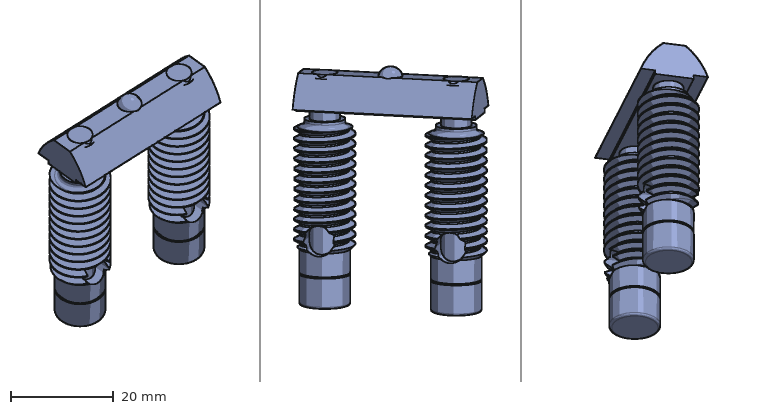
import cadquery as cq
import math

BAR_LENGTH = 36.0
BAR_HALF_WIDTH = 6.75
BAR_TOP_HALF_WIDTH = 2.25
BAR_SIDE_RADIUS = 14.5
FOOT_HALF_WIDTH = 3.875
FOOT_BOTTOM_Z = 39.0
BAR_SHOULDER_Z = 39.8
BAR_TOP_Z = 46.2
BALL_RADIUS = 2.5
BALL_TOP_Z = 48.0

PIN_SPACING = 26.4
PIN_POSITIONS = (-PIN_SPACING / 2, PIN_SPACING / 2)
SHAFT_RADIUS = 3.0
TIP_RADIUS = 4.92 / 2
TIP_CHAMFER_HEIGHT = 0.76
CAP_RADIUS = 5.0
CAP_HEIGHT = 6.1
CAP_FILLET = 0.5

SLEEVE_RADIUS = CAP_RADIUS
SLEEVE_EDGE_CHAMFER = 0.35
COLLAR_RADIUS = 4.0
COLLAR_TOP_Z = 37.0
COLLAR_FILLET = 1.0
CROSS_HOLE_RADIUS = 3.0
CROSS_HOLE_Z = 13.5

THREAD_BOTTOM_Z = 11.1
THREAD_TOP_Z = 35.5
THREAD_RADIUS = 6.0
THREAD_ROOT_RADIUS = 4.8
THREAD_PITCH = 2.0
CREST_WIDTH = 0.25
FLANK_ANGLE = math.radians(30)
ROOT_OVERLAP = 0.2
HELIX_START_Z = 8.4
HELIX_TURNS = 15
CLIP_MARGIN = 1.0
CORE_SEAM_ANGLE = 100


def make_bar():
    """Arched bar with a ball nose, bored for the two pin shafts."""
    start = (BAR_TOP_HALF_WIDTH, BAR_TOP_Z)
    end = (BAR_HALF_WIDTH, BAR_SHOULDER_Z)
    run = end[0] - start[0]
    drop = start[1] - end[1]
    chord = math.hypot(run, drop)
    sagitta = BAR_SIDE_RADIUS - math.sqrt(BAR_SIDE_RADIUS**2 - (chord / 2) ** 2)
    middle_x = (start[0] + end[0]) / 2 + sagitta * drop / chord
    middle_z = (start[1] + end[1]) / 2 + sagitta * run / chord
    bar = (
        cq.Workplane("XZ")
        .moveTo(-start[0], start[1])
        .lineTo(*start)
        .threePointArc((middle_x, middle_z), end)
        .lineTo(FOOT_HALF_WIDTH, BAR_SHOULDER_Z)
        .lineTo(FOOT_HALF_WIDTH, FOOT_BOTTOM_Z)
        .lineTo(-FOOT_HALF_WIDTH, FOOT_BOTTOM_Z)
        .lineTo(-FOOT_HALF_WIDTH, BAR_SHOULDER_Z)
        .lineTo(-end[0], end[1])
        .threePointArc((-middle_x, middle_z), (-start[0], start[1]))
        .close()
        .extrude(BAR_LENGTH / 2, both=True)
    )
    ball = cq.Workplane("XY").sphere(BALL_RADIUS).translate((0, 0, BALL_TOP_Z - BALL_RADIUS))
    bar = bar.union(ball)
    for y in PIN_POSITIONS:
        bar = bar.cut(make_pin().translate((0, y, 0)))
    return bar


def make_pin():
    """Capped shaft with a conical tip flush with the top of the bar."""
    cap = cq.Workplane("XY").circle(CAP_RADIUS).extrude(CAP_HEIGHT).faces("<Z").fillet(CAP_FILLET)
    shaft = (
        cq.Workplane("XZ")
        .lineTo(SHAFT_RADIUS, 0)
        .lineTo(SHAFT_RADIUS, BAR_TOP_Z - TIP_CHAMFER_HEIGHT)
        .lineTo(TIP_RADIUS, BAR_TOP_Z)
        .lineTo(0, BAR_TOP_Z)
        .close()
        .revolve()
    )
    return cap.union(shaft)


def make_thread():
    """Helical ridge, cut flat at the top and to a 45 degree cone at the bottom."""
    inner_radius = THREAD_ROOT_RADIUS - ROOT_OVERLAP
    depth = THREAD_RADIUS - inner_radius
    half_crest = CREST_WIDTH / 2
    half_base = half_crest + depth * math.tan(FLANK_ANGLE)
    helix = cq.Wire.makeHelix(THREAD_PITCH, HELIX_TURNS * THREAD_PITCH, THREAD_ROOT_RADIUS)
    ridge = (
        cq.Workplane("XZ")
        .polyline(
            [
                (inner_radius, -half_base),
                (THREAD_RADIUS, -half_crest),
                (THREAD_RADIUS, half_crest),
                (inner_radius, half_base),
            ]
        )
        .close()
        .sweep(cq.Workplane(helix), isFrenet=True)
        .translate((0, 0, HELIX_START_Z))
    )
    clip_radius = THREAD_RADIUS + CLIP_MARGIN
    clip = (
        cq.Workplane("XZ")
        .moveTo(0, THREAD_BOTTOM_Z)
        .lineTo(SLEEVE_RADIUS, THREAD_BOTTOM_Z)
        .lineTo(clip_radius, THREAD_BOTTOM_Z + clip_radius - SLEEVE_RADIUS)
        .lineTo(clip_radius, THREAD_TOP_Z)
        .lineTo(0, THREAD_TOP_Z)
        .close()
        .revolve()
    )
    return ridge.intersect(clip)


def make_sleeve():
    """Threaded sleeve with a filleted collar on top and a cross hole along X."""
    fillet_foot_radius = COLLAR_RADIUS + COLLAR_FILLET
    fillet_offset = COLLAR_FILLET * (1 - math.sqrt(0.5))
    core = (
        cq.Workplane("XZ")
        .moveTo(0, CAP_HEIGHT)
        .lineTo(SLEEVE_RADIUS - SLEEVE_EDGE_CHAMFER, CAP_HEIGHT)
        .lineTo(SLEEVE_RADIUS, CAP_HEIGHT + SLEEVE_EDGE_CHAMFER)
        .lineTo(SLEEVE_RADIUS, THREAD_BOTTOM_Z)
        .lineTo(THREAD_ROOT_RADIUS, THREAD_BOTTOM_Z)
        .lineTo(THREAD_ROOT_RADIUS, THREAD_TOP_Z)
        .lineTo(fillet_foot_radius, THREAD_TOP_Z)
        .threePointArc(
            (COLLAR_RADIUS + fillet_offset, THREAD_TOP_Z + fillet_offset),
            (COLLAR_RADIUS, THREAD_TOP_Z + COLLAR_FILLET),
        )
        .lineTo(COLLAR_RADIUS, COLLAR_TOP_Z)
        .lineTo(0, COLLAR_TOP_Z)
        .close()
        .revolve()
        .rotate((0, 0, 0), (0, 0, 1), CORE_SEAM_ANGLE)
    )
    cross_hole = (
        cq.Workplane("YZ")
        .center(0, CROSS_HOLE_Z)
        .circle(CROSS_HOLE_RADIUS)
        .extrude(THREAD_RADIUS + CLIP_MARGIN, both=True)
    )
    bore = cq.Workplane("XY").circle(SHAFT_RADIUS).extrude(COLLAR_TOP_Z)
    return core.union(make_thread()).cut(cross_hole).cut(bore)


pin = make_pin()
sleeve = make_sleeve()
bodies = [make_bar().solids().val()]
for y in PIN_POSITIONS:
    bodies.append(pin.translate((0, y, 0)).solids().val())
    bodies.append(sleeve.translate((0, y, 0)).solids().val())

result = cq.Compound.makeCompound(bodies)